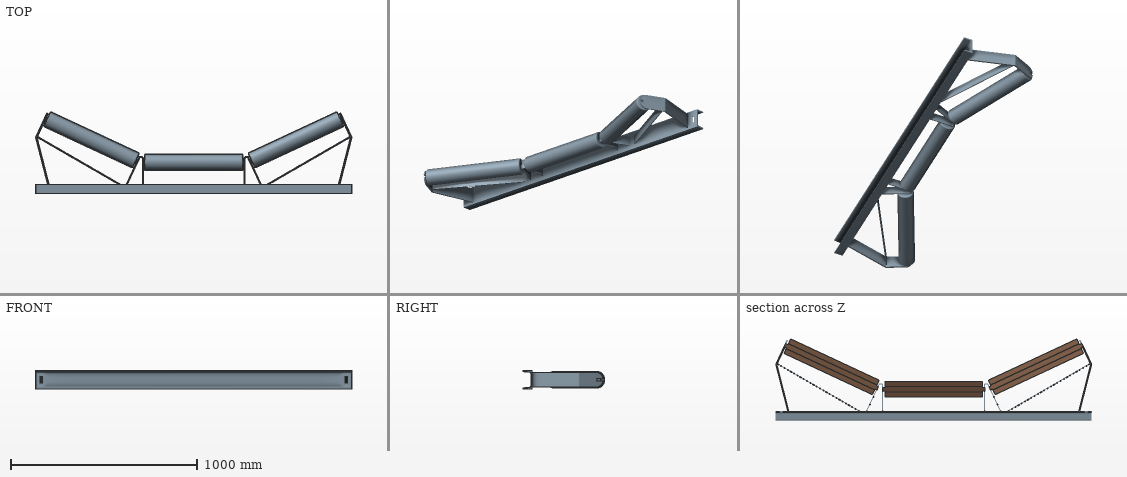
import cadquery as cq
import math


beam_length = 1701
beam_height = 100.0
beam_depth = 50.0
web_thickness = 6.0
flange_tip_thickness = 6.5
flange_taper = 0.08
flange_root_radius = 9.0
flange_tip_radius = 4.5
slot_width = 15.0
slot_height = 35.0
slot_x = 820.0

roller_diameter = 88.0
roller_length = 527.0
roller_edge_radius = 5.0
shaft_diameter = 25.0
tongue_height = 20.0
tongue_width = 14.5
end_gap = 7.0
centre_roller_y = 119.0
trough_angle = 25
side_roller_x = 550.0
side_roller_y = 240.0

outer_width = 78.0
inner_width = 51.0
outer_plate = 8.0
inner_plate = 5.0
outer_bend_radius = 10.0
outer_foot_x = 786.0
outer_bend_x = beam_length / 2
outer_tip_reach = 29.0
outer_tip_radius = 37.0
inner_top_y = 150.0
inner_bend_radius = 12.0
seat_depth = 68
brace_plate = 5.0
brace_angle = 30
brace_foot_x = 393.0
tilt = math.radians(trough_angle)
half_roller = roller_length / 2
plate_distance = half_roller + end_gap
outer_overhang = end_gap + outer_plate
inner_overhang = end_gap + inner_plate


def side_point(along, above):
    """Point in the left roller's frame: along its axis towards the centre, and above the axis."""
    x = -side_roller_x + along * math.cos(tilt) + above * math.sin(tilt)
    y = side_roller_y - along * math.sin(tilt) + above * math.cos(tilt)
    return (x, y)


def above_axis_at_x(along, x):
    """Height above the left roller axis where the plane square to it at `along` reaches x."""
    return (x + side_roller_x - along * math.cos(tilt)) / math.sin(tilt)


def side_point_at_y(along, y):
    """Point at height y on the plane square to the left roller axis at `along`."""
    above = (y - side_roller_y + along * math.sin(tilt)) / math.cos(tilt)
    return side_point(along, above)


def plate(points, width):
    """Extrude a closed XY outline to a width centred on Z = 0."""
    return cq.Workplane("XY", origin=(0, 0, -width / 2)).polyline(points).close().extrude(width)


def bar_along_x(outline, start, length):
    """Extrude an outline drawn on the YZ plane along X from the given start."""
    return outline.extrude(length).translate((start, 0, 0))


def place_side(body):
    """Move a body built along X about the origin onto the left roller axis."""
    turned = body.rotate((0, 0, 0), (0, 0, 1), -trough_angle)
    return turned.translate((-side_roller_x, side_roller_y, 0))


def place_centre(body):
    """Move a body built along X about the origin onto the centre roller axis."""
    return body.translate((0, centre_roller_y, 0))


def round_edge(body, point, radius):
    """Fillet the one edge whose middle is nearest to the point."""
    return body.edges(cq.NearestToPointSelector(point)).fillet(radius)


def mirrored(body):
    return body.mirror("YZ")


def make_beam():
    """Channel with a slot through the web near each end."""
    half = beam_height / 2
    root_thickness = flange_tip_thickness + flange_taper * (beam_depth - web_thickness)
    profile = [
        (0, -half),
        (0, half),
        (-beam_depth, half),
        (-beam_depth, half - flange_tip_thickness),
        (-web_thickness, half - root_thickness),
        (-web_thickness, root_thickness - half),
        (-beam_depth, flange_tip_thickness - half),
        (-beam_depth, -half),
    ]
    beam = bar_along_x(cq.Workplane("YZ").polyline(profile).close(), -beam_length / 2, beam_length)
    for side in (-1, 1):
        root = (0, -web_thickness, side * (half - root_thickness))
        tip = (0, -beam_depth, side * (half - flange_tip_thickness))
        beam = round_edge(beam, root, flange_root_radius)
        beam = round_edge(beam, tip, flange_tip_radius)
    slots = (
        cq.Workplane("XZ")
        .pushPoints([(-slot_x, 0), (slot_x, 0)])
        .rect(slot_width, slot_height)
        .extrude(beam_depth)
    )
    return beam.cut(slots)


def make_shaft(overhang_start, overhang_end):
    """Round shaft along X with a flattened tongue at each end, beyond the roller."""
    start = -half_roller - overhang_start
    length = overhang_start + roller_length + overhang_end
    barrel = cq.Workplane("YZ").circle(shaft_diameter / 2)
    tongue = cq.Workplane("YZ").rect(tongue_height, tongue_width)
    round_part = bar_along_x(barrel, -half_roller, roller_length)
    return round_part.union(bar_along_x(tongue, start, length))


def make_roller():
    """Roller along X with rounded rims, bored to fit its shaft."""
    tube = cq.Workplane("YZ").circle(roller_diameter / 2)
    bore = cq.Workplane("YZ").circle(shaft_diameter / 2)
    body = bar_along_x(tube, -half_roller, roller_length).edges().fillet(roller_edge_radius)
    return body.cut(bar_along_x(bore, -half_roller, roller_length))


def make_seat(start, thickness):
    """Cutter for a shaft slot: it fits the shaft tongue and stays open above it."""
    slot = cq.Workplane("YZ").center(seat_depth / 2 - tongue_height / 2, 0).rect(seat_depth, tongue_width)
    return bar_along_x(slot, start, thickness)


def make_outer_bracket():
    """Left plate leaning out from the beam, then folded square to the side roller axis."""
    inner_face = -plate_distance
    outer_face = inner_face - outer_plate

    outer_fold_above = above_axis_at_x(outer_face, -outer_bend_x)
    fold_outer = side_point(outer_face, outer_fold_above)
    lean = math.atan2(outer_bend_x - outer_foot_x, fold_outer[1])
    miter = outer_plate * math.tan((tilt + lean) / 2)
    fold_inner = side_point(inner_face, outer_fold_above + miter)

    outline = [
        (-outer_foot_x, 0),
        fold_outer,
        side_point(outer_face, outer_tip_reach),
        side_point(inner_face, outer_tip_reach),
        fold_inner,
        (-outer_foot_x + outer_plate / math.cos(lean), 0),
    ]
    bracket = plate(outline, outer_width)
    bracket = round_edge(bracket, (*fold_outer, 0), outer_bend_radius)
    bracket = round_edge(bracket, (*fold_inner, 0), outer_bend_radius - outer_plate)
    tip_middle = side_point(inner_face - outer_plate / 2, outer_tip_reach)
    for side in (-1, 1):
        bracket = round_edge(bracket, (*tip_middle, side * outer_width / 2), outer_tip_radius)
    return bracket.cut(place_side(make_seat(outer_face, outer_plate)))


def make_inner_bracket():
    """Left saddle: an upright beside the centre roller, folded over and down square to the side axis."""
    near_face = plate_distance
    far_face = near_face + inner_plate
    upright_far_x = -plate_distance - inner_plate
    under_top = inner_top_y - inner_plate
    corner_outer = (-plate_distance, inner_top_y)
    corner_inner = (upright_far_x, under_top)
    outline = [
        (-plate_distance, 0),
        corner_outer,
        side_point_at_y(near_face, inner_top_y),
        side_point_at_y(near_face, 0),
        side_point_at_y(far_face, 0),
        side_point_at_y(far_face, under_top),
        corner_inner,
        (upright_far_x, 0),
    ]
    bracket = plate(outline, inner_width)
    bracket = round_edge(bracket, (*corner_outer, 0), inner_bend_radius)
    bracket = round_edge(bracket, (*corner_inner, 0), inner_bend_radius - inner_plate)
    side_seat = place_side(make_seat(near_face, inner_plate))
    centre_seat = place_centre(make_seat(upright_far_x, inner_plate))
    return bracket.cut(side_seat).cut(centre_seat)


def make_brace():
    """Left flat bar from the beam up to the outer bracket."""
    angle = math.radians(brace_angle)
    outer_x = outer_bend_x - outer_plate
    rise = (outer_x - brace_foot_x) * math.tan(angle)
    drop = brace_plate / math.cos(angle)
    foot_run = brace_plate / math.sin(angle)
    outline = [
        (-brace_foot_x, 0),
        (-outer_x, rise),
        (-outer_x, rise - drop),
        (-brace_foot_x - foot_run, 0),
    ]
    return plate(outline, inner_width)


def make_frame():
    """Weldment of the beam with the brackets and braces of both ends."""
    frame = make_beam()
    for member in (make_outer_bracket(), make_inner_bracket(), make_brace()):
        frame = frame.union(member).union(mirrored(member))
    return frame


def at_all_stations(side_body, centre_body):
    """Copies of a body built along X: on the left, centre and right roller axes."""
    left_body = place_side(side_body)
    return [left_body, place_centre(centre_body), mirrored(left_body)]


frame = make_frame()

roller = make_roller()
rollers = at_all_stations(roller, roller)

side_shaft = make_shaft(outer_overhang, inner_overhang)
centre_shaft = make_shaft(inner_overhang, inner_overhang)
shafts = at_all_stations(side_shaft, centre_shaft)

result = cq.Compound.makeCompound([frame.val(), *[body.val() for body in rollers + shafts]])